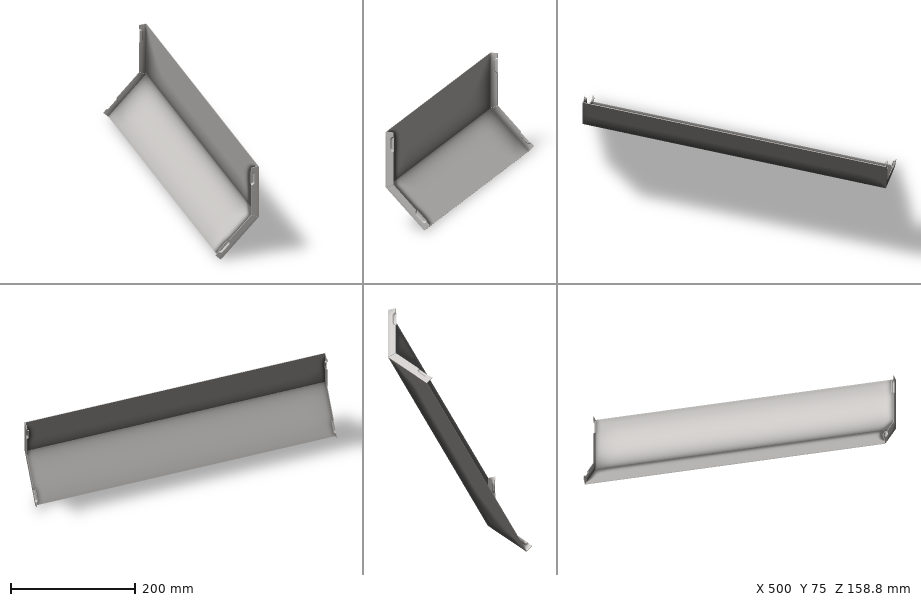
import cadquery as cq
import math

length = 500.0
leg = 93.0
bend_angle = 45.0
flange_depth = 13.0
thickness = 1.0
miter_gap = 0.5

dimple_length = 25.0
dimple_reach = 5.5
dimple_press = 3.0
dimple_taper = 30.0
dimple_end_offset = 20.0

bend = math.radians(bend_angle)
half_bend_tan = math.tan(bend / 2)
lower_along = (-math.sin(bend), -math.cos(bend))
lower_front = (-math.cos(bend), math.sin(bend))
upper_along = (0.0, 1.0)
upper_front = (-1.0, 0.0)


def leg_point(along, front, distance, depth):
    """Point (Y, Z) at a distance from the fold and a depth from the back face."""
    return (
        along[0] * distance + front[0] * depth,
        along[1] * distance + front[1] * depth,
    )


def bent_prism(start_depth, end_depth, start_x, width):
    """Solid following both legs between two depths from the back face."""
    outline = [
        leg_point(upper_along, upper_front, leg, start_depth),
        leg_point(upper_along, upper_front, start_depth * half_bend_tan, start_depth),
        leg_point(lower_along, lower_front, leg, start_depth),
        leg_point(lower_along, lower_front, leg, end_depth),
        leg_point(upper_along, upper_front, end_depth * half_bend_tan, end_depth),
        leg_point(upper_along, upper_front, leg, end_depth),
    ]
    return cq.Workplane("YZ", origin=(start_x, 0, 0)).polyline(outline).close().extrude(width)


def dimple_form(along, front, side, shift):
    """Tapered oblong centred on a flange free edge, shifted inward from its outer face."""
    y, z = leg_point(along, front, leg - dimple_end_offset, flange_depth)
    plane = cq.Plane(
        origin=(side * (length / 2 - shift), y, z),
        xDir=(0, *along),
        normal=(-side, 0, 0),
    )
    oblong = cq.Workplane(plane).slot2D(dimple_length, 2 * dimple_reach)
    return oblong.extrude(dimple_press, taper=dimple_taper)


envelope = bent_prism(0, flange_depth, -length / 2, length)
result = bent_prism(0, thickness, -length / 2, length)
for flange_start in (-length / 2, length / 2 - thickness):
    result = result.union(bent_prism(0, flange_depth, flange_start, thickness))

slit_start = leg_point(upper_along, upper_front, thickness * half_bend_tan, thickness)
slit_end = leg_point(upper_along, upper_front, flange_depth * half_bend_tan, flange_depth)
slit_length = math.dist(slit_start, slit_end)
slit_plane = cq.Plane(
    origin=(0, *slit_start),
    xDir=(0, slit_end[0] - slit_start[0], slit_end[1] - slit_start[1]),
    normal=(1, 0, 0),
)
slit = cq.Workplane(slit_plane).rect(2 * slit_length, miter_gap, centered=(False, True))
result = result.cut(slit.extrude(length / 2, both=True))

for side in (-1, 1):
    for along, front in ((upper_along, upper_front), (lower_along, lower_front)):
        raised = dimple_form(along, front, side, thickness).intersect(envelope)
        hollow = dimple_form(along, front, side, 0)
        result = result.union(raised).cut(hollow)